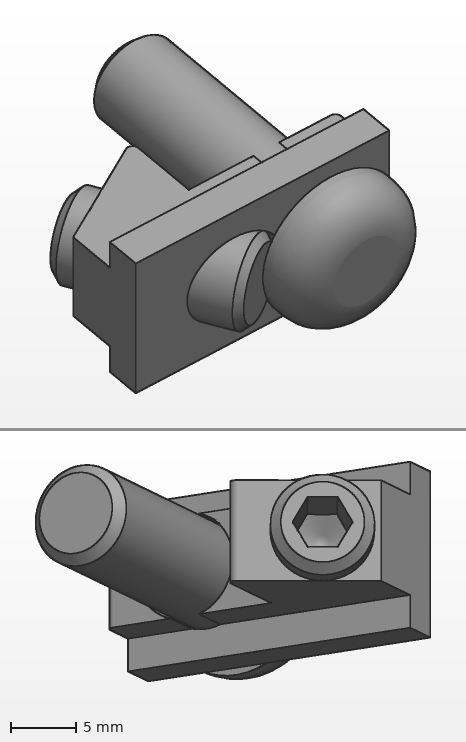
import cadquery as cq
import math


CLAMP_TOP = 6.9
CLAMP_BOTTOM = -17.95
PLATE_THICKNESS = 3.2
PLATE_WIDTH = 13.25
BLOCK_DEPTH = 6.5
BLOCK_WIDTH = 8.03
LEDGE_Y = -7.6
FOOT_DEPTH = 7.7
CORNER_RADIUS = 0.55
BOLT_HOLE_DIAMETER = 8.4

THREAD_DIAMETER = 8.0
BOLT_TIP_X = -23.5
TIP_CHAMFER = 0.8
HEAD_DIAMETER = 13.4
HEAD_START_X = 1.5
HEAD_END_X = 5.8
HEAD_RIM = 0.8

SCREW_ANGLE = 30.0
SCREW_LENGTH = 16.0
SCREW_START_X = -12.05
SCREW_START_Y = -15.27
SCREW_END_DIAMETER = 6.65
SOCKET_FLATS = 3.98
SOCKET_DEPTH = 4.8
SOCKET_POINT_ANGLE = 120.0

slant = math.tan(math.radians(SCREW_ANGLE))
screw_direction = cq.Vector(
    math.cos(math.radians(SCREW_ANGLE)),
    math.sin(math.radians(SCREW_ANGLE)),
    0,
)
screw_plane = cq.Plane(
    origin=(SCREW_START_X, SCREW_START_Y, 0),
    xDir=(0, 0, 1),
    normal=screw_direction.toTuple(),
)


def make_clamp():
    """T-section clamp with a slanted foot, a bolt hole and a set screw hole."""
    nose_x = -FOOT_DEPTH - (LEDGE_Y - CLAMP_BOTTOM) * slant
    block = (
        cq.Workplane("XY")
        .polyline([
            (0, CLAMP_TOP),
            (-BLOCK_DEPTH, CLAMP_TOP),
            (-BLOCK_DEPTH, LEDGE_Y),
            (nose_x, LEDGE_Y),
            (-FOOT_DEPTH, CLAMP_BOTTOM),
            (0, CLAMP_BOTTOM),
        ])
        .close()
        .extrude(BLOCK_WIDTH / 2, both=True)
    )
    for corner in [(-BLOCK_DEPTH, CLAMP_TOP, 0), (nose_x, LEDGE_Y, 0)]:
        block = block.edges(cq.selectors.NearestToPointSelector(corner)).fillet(CORNER_RADIUS)

    plate = (
        cq.Workplane("XY")
        .box(PLATE_THICKNESS, CLAMP_TOP - CLAMP_BOTTOM, PLATE_WIDTH)
        .translate((-PLATE_THICKNESS / 2, (CLAMP_TOP + CLAMP_BOTTOM) / 2, 0))
    )
    bolt_hole = (
        cq.Workplane("YZ", origin=(-BLOCK_DEPTH, 0, 0))
        .circle(BOLT_HOLE_DIAMETER / 2)
        .extrude(BLOCK_DEPTH)
    )
    screw_hole = (
        cq.Workplane(screw_plane)
        .circle(THREAD_DIAMETER / 2)
        .extrude(2 * SCREW_LENGTH)
    )
    return block.union(plate).cut(bolt_hole).cut(screw_hole)


def make_bolt():
    """Button head bolt with a chamfered tip."""
    shank = (
        cq.Workplane("YZ", origin=(BOLT_TIP_X, 0, 0))
        .circle(THREAD_DIAMETER / 2)
        .extrude(HEAD_START_X - BOLT_TIP_X)
        .faces("<X")
        .chamfer(TIP_CHAMFER)
    )
    head_height = HEAD_END_X - HEAD_START_X
    head = (
        cq.Workplane("YZ", origin=(HEAD_START_X, 0, 0))
        .circle(HEAD_DIAMETER / 2)
        .extrude(head_height)
        .faces(">X")
        .edges()
        .fillet(head_height - HEAD_RIM)
    )
    return shank.union(head)


def make_socket():
    """Hexagonal socket whose floor is a cone reaching the hexagon's corners."""
    corner_radius = SOCKET_FLATS / math.sqrt(3)
    cone_height = corner_radius / math.tan(math.radians(SOCKET_POINT_ANGLE / 2))
    hexagon = (
        cq.Workplane(screw_plane)
        .transformed(rotate=(0, 0, 90))
        .polygon(6, 2 * corner_radius)
        .extrude(SOCKET_DEPTH + cone_height)
    )
    drill_body = cq.Solid.makeCylinder(
        corner_radius,
        SOCKET_DEPTH,
        screw_plane.origin,
        screw_direction,
    )
    drill_point = cq.Solid.makeCone(
        corner_radius,
        0,
        cone_height,
        screw_plane.origin + screw_direction * SOCKET_DEPTH,
        screw_direction,
    )
    drill = cq.Workplane(drill_body).union(cq.Workplane(drill_point))
    return hexagon.intersect(drill)


def make_set_screw():
    """Headless screw, chamfered at both ends, with a hexagonal socket."""
    end_chamfer = (THREAD_DIAMETER - SCREW_END_DIAMETER) / 2
    screw = (
        cq.Workplane(screw_plane)
        .circle(THREAD_DIAMETER / 2)
        .extrude(SCREW_LENGTH)
        .faces(cq.selectors.DirectionMinMaxSelector(screw_direction, False))
        .chamfer(TIP_CHAMFER)
        .faces(cq.selectors.DirectionMinMaxSelector(screw_direction, True))
        .chamfer(end_chamfer)
    )
    return screw.cut(make_socket())


clamp = make_clamp()
bolt = make_bolt()
set_screw = make_set_screw()

result = cq.Compound.makeCompound([
    clamp.solids().val(),
    bolt.solids().val(),
    set_screw.solids().val(),
])